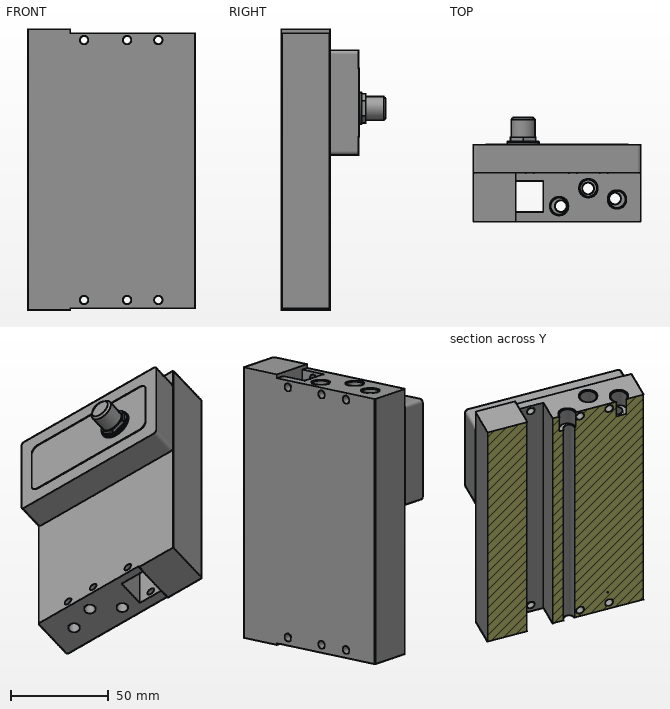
import cadquery as cq
import math

BODY_WIDTH = 86.0
BODY_DEPTH = 25.0
BODY_HEIGHT = 144.0
EDGE_CHAMFER = 0.5

COLUMN_WIDTH = 21.9
TOP_STEP = 2.0
BOTTOM_STEP = 0.9

CHANNEL_X_END = 35.9
CHANNEL_Y_START = 5.2
CHANNEL_Y_END = 20.9

MOUNT_DIAMETER = 4.2
MOUNT_XS = (29.0, 51.0, 67.0)
MOUNT_TOP_OFFSET = 5.6
MOUNT_BOTTOM_Z = 5.2

PORT_DIAMETER = 8.6
PORT_MOUTH_DIAMETER = 9.6
PORT_DEPTH = 10.1
PASSAGE_DIAMETER = 5.9
PORTS = (
    ((44.0, 8.0), (45.0, 8.0)),
    ((59.0, 17.3), (58.9, 17.1)),
    ((73.7, 11.5), (72.7, 12.0)),
)

COVER_DEPTH = 14.5
COVER_HEIGHT = 53.7
COVER_TOP_Z = BODY_HEIGHT - 10.8
COVER_CORNER_RADIUS = 2.0
COVER_BACK_Y = BODY_DEPTH + COVER_DEPTH
COVER_CENTRE_Z = COVER_TOP_Z - COVER_HEIGHT / 2

PLATE_WIDTH = 72.5
PLATE_HEIGHT = 35.0
PLATE_THICKNESS = 0.3
PLATE_CORNER_RADIUS = 4.2

CONNECTOR_X = 25.6
CONNECTOR_Z = 103.4
FLANGE_DIAMETER = 16.4
FLANGE_THICKNESS = 1.5
FLANGE_CHAMFER = 0.5
NUT_ACROSS_FLATS = 13.1
NUT_THICKNESS = 2.0
BARREL_DIAMETER = 12.2
BARREL_LENGTH = 10.2
BARREL_CHAMFER = 1.2


def box(x_start, x_end, y_start, y_end, z_start, z_end):
    """Box given by its two limits along each axis."""
    block = cq.Workplane("XY").box(x_end - x_start, y_end - y_start, z_end - z_start, centered=False)
    return block.translate((x_start, y_start, z_start))


def back_plane(y, x, z):
    """Sketch plane facing +Y, with its origin at the given point."""
    return cq.Workplane(cq.Plane(origin=(x, y, z), xDir=(-1, 0, 0), normal=(0, 1, 0)))


def make_body():
    body = box(0, BODY_WIDTH, 0, BODY_DEPTH, 0, BODY_HEIGHT).edges("|Z").chamfer(EDGE_CHAMFER)
    top_step = box(COLUMN_WIDTH, BODY_WIDTH, 0, BODY_DEPTH, BODY_HEIGHT - TOP_STEP, BODY_HEIGHT)
    bottom_step = box(COLUMN_WIDTH, BODY_WIDTH, 0, BODY_DEPTH, 0, BOTTOM_STEP)
    return body.cut(top_step).cut(bottom_step)


def make_channel():
    return box(COLUMN_WIDTH, CHANNEL_X_END, CHANNEL_Y_START, CHANNEL_Y_END, 0, BODY_HEIGHT)


def make_mounting_holes():
    top_row_z = BODY_HEIGHT - MOUNT_TOP_OFFSET
    centres = [(x, z) for x in MOUNT_XS for z in (MOUNT_BOTTOM_Z, top_row_z)]
    holes = cq.Workplane("XZ").pushPoints(centres).circle(MOUNT_DIAMETER / 2)
    return holes.extrude(-BODY_DEPTH)


def make_port(port_centre, passage_centre):
    """Port with a chamfered mouth and the passage behind it."""
    mouth_z = BODY_HEIGHT - TOP_STEP
    port_radius = PORT_DIAMETER / 2
    mouth_radius = PORT_MOUTH_DIAMETER / 2
    profile = [
        (0, mouth_z),
        (mouth_radius, mouth_z),
        (port_radius, mouth_z - (mouth_radius - port_radius)),
        (port_radius, mouth_z - PORT_DEPTH),
        (0, mouth_z - PORT_DEPTH),
    ]
    port = cq.Workplane("XZ").polyline(profile).close().revolve(360, (0, 0), (0, 1))
    port = port.translate((*port_centre, 0))
    passage = cq.Workplane("XY").center(*passage_centre).circle(PASSAGE_DIAMETER / 2).extrude(mouth_z)
    return port.union(passage)


def make_cover():
    cover = box(0, BODY_WIDTH, BODY_DEPTH, COVER_BACK_Y, COVER_TOP_Z - COVER_HEIGHT, COVER_TOP_Z)
    return cover.edges("|Y").fillet(COVER_CORNER_RADIUS)


def make_plate():
    plate = back_plane(COVER_BACK_Y, BODY_WIDTH / 2, COVER_CENTRE_Z).rect(PLATE_WIDTH, PLATE_HEIGHT)
    return plate.extrude(PLATE_THICKNESS).edges("|Y").fillet(PLATE_CORNER_RADIUS)


def make_connector():
    flange_y = COVER_BACK_Y + PLATE_THICKNESS
    nut_y = flange_y + FLANGE_THICKNESS
    barrel_y = nut_y + NUT_THICKNESS

    flange = back_plane(flange_y, CONNECTOR_X, CONNECTOR_Z).circle(FLANGE_DIAMETER / 2)
    flange = flange.extrude(FLANGE_THICKNESS).faces(">Y").chamfer(FLANGE_CHAMFER)

    nut_across_corners = NUT_ACROSS_FLATS / math.cos(math.pi / 6)
    nut = back_plane(nut_y, CONNECTOR_X, CONNECTOR_Z).transformed(rotate=(0, 0, 90))
    nut = nut.polygon(6, nut_across_corners).extrude(NUT_THICKNESS)

    barrel = back_plane(barrel_y, CONNECTOR_X, CONNECTOR_Z).circle(BARREL_DIAMETER / 2)
    barrel = barrel.extrude(BARREL_LENGTH).faces(">Y").chamfer(BARREL_CHAMFER)
    return flange.union(nut).union(barrel)


body = make_body().cut(make_channel()).cut(make_mounting_holes())
for port_centre, passage_centre in PORTS:
    body = body.cut(make_port(port_centre, passage_centre))

result = body.union(make_cover()).union(make_plate()).union(make_connector())